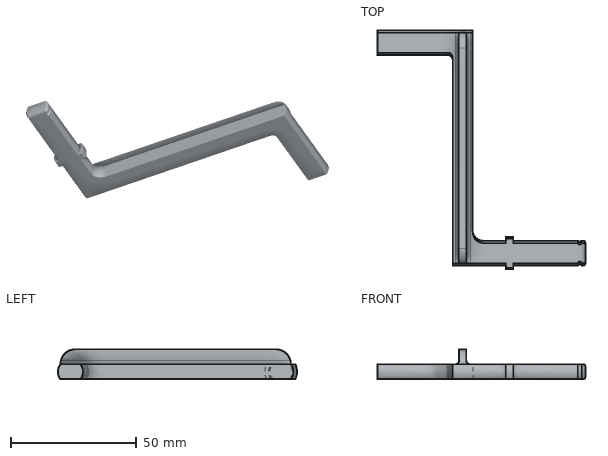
import cadquery as cq
import math

thickness = 6.0
rod_radius = 5.0
half_thickness = thickness / 2
flat_half_width = math.sqrt(rod_radius**2 - half_thickness**2)

total_length = 83.0
web_left = 30.0
web_width = 8.0
web_right = web_left + web_width
arm_spacing = 84.0
upper_corner_radius = 2.0
lower_corner_radius = 4.0

rib_width = 3.0
rib_height = 6.0
rib_end_radius = 6.0
rib_foot_radius = 1.5
rib_center_x = web_left + web_width / 2

collar_radius = 6.5
collar_width = 3.0
collar_start = 51.2
groove_radius = 0.75
groove_depth = 0.5
groove_center_x = 80.7
tip_radius = 1.0


def flattened_rod(x_start, x_end, axis_y, radius):
    """Rod along X between two flats at z = 0 and z = thickness."""
    length = x_end - x_start
    rod = cq.Workplane("YZ", origin=(x_start, axis_y, half_thickness)).circle(radius).extrude(length)
    slab = cq.Workplane("XY", origin=(x_start + length / 2, axis_y, half_thickness)).box(
        length, 2 * radius, thickness
    )
    return rod.intersect(slab)


def make_frame():
    """Two opposed arms joined by a flat-sided web, with rounded inside corners."""
    upper_arm = flattened_rod(0, web_right, arm_spacing, rod_radius)
    lower_arm = flattened_rod(web_left, total_length, 0, rod_radius)
    lower_arm = lower_arm.faces(">X").edges().fillet(tip_radius)
    web = cq.Workplane("XY").box(web_width, arm_spacing, thickness, centered=False)
    web = web.translate((web_left, 0, 0))
    frame = upper_arm.union(lower_arm).union(web)
    frame = fillet_corner(frame, web_left, arm_spacing - flat_half_width, upper_corner_radius)
    return fillet_corner(frame, web_right, flat_half_width, lower_corner_radius)


def fillet_corner(frame, x, y, radius):
    """Round the inside corner where an arm's curved side meets the web's side."""
    reach = rod_radius - flat_half_width
    margin = 0.1
    around_corner = cq.selectors.BoxSelector(
        (x - margin, y - reach - margin, 0),
        (x + margin, y + reach + margin, thickness),
    )
    return frame.edges(around_corner).fillet(radius)


def make_rib():
    """Upright rib along the web, with quarter-round upper ends and concave feet."""
    y_start = -flat_half_width
    length = arm_spacing + 2 * flat_half_width
    top = thickness + rib_height
    half_width = rib_width / 2
    foot_half_width = half_width + rib_foot_radius
    foot_top = thickness + rib_foot_radius
    arc_offset = rib_foot_radius * (1 - math.sqrt(0.5))
    section = (
        cq.Workplane("XZ", origin=(rib_center_x, y_start, 0))
        .moveTo(-foot_half_width, half_thickness)
        .lineTo(-foot_half_width, thickness)
        .threePointArc((-half_width - arc_offset, thickness + arc_offset), (-half_width, foot_top))
        .lineTo(-half_width, top)
        .lineTo(half_width, top)
        .lineTo(half_width, foot_top)
        .threePointArc((half_width + arc_offset, thickness + arc_offset), (foot_half_width, thickness))
        .lineTo(foot_half_width, half_thickness)
        .close()
    )
    rib = section.extrude(-length)
    return rib.edges("|X and >Z").fillet(rib_end_radius)


def make_ring_groove():
    """Round-bottomed groove running around the lower arm's axis."""
    ring = cq.Solid.makeTorus(
        rod_radius - groove_depth + groove_radius,
        groove_radius,
        cq.Vector(groove_center_x, 0, half_thickness),
        cq.Vector(1, 0, 0),
    )
    return cq.Workplane(obj=ring)


collar = flattened_rod(collar_start, collar_start + collar_width, 0, collar_radius)
result = make_frame().union(make_rib()).union(collar).cut(make_ring_groove())